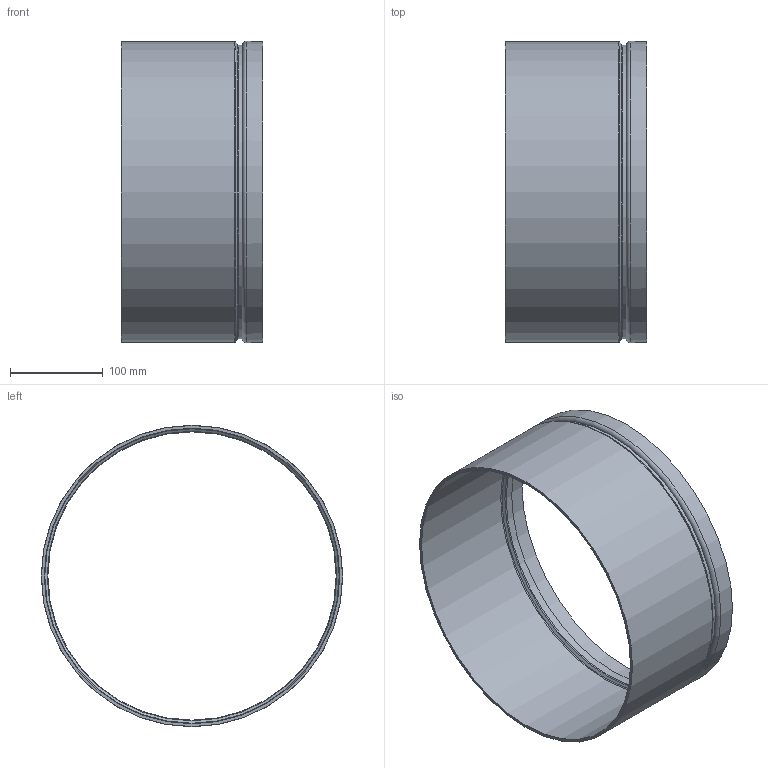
import cadquery as cq
import math

length = 152.4
body_outer_radius = 323.85 / 2
body_inner_radius = 317.86 / 2
groove_outer_radius = 315.98 / 2
groove_inner_radius = 309.98 / 2
lip_outer_radius = 324.22 / 2
lip_taper = math.radians(1.7)

groove_start = 122.8
groove_end = 130.2
slope_angle = math.radians(55)
slope_fillet = 1.5

groove_wall = groove_outer_radius - groove_inner_radius
body_wall = body_outer_radius - body_inner_radius
bend_shift = groove_wall * math.tan(slope_angle / 2)
lip_round = lip_outer_radius - groove_outer_radius
lip_start = groove_end + lip_round
lip_drop = (length - lip_start) * math.tan(lip_taper)
lip_inner_radius = lip_outer_radius - body_wall


def body_and_slope(start, body_radius, floor_radius):
    """Open XY profile (Y is the radius): from the axis, along the body, down to the groove floor."""
    floor_start = start + (body_radius - floor_radius) / math.tan(slope_angle)
    tangent = slope_fillet * math.tan(slope_angle / 2)
    tangent_run = tangent * math.cos(slope_angle)
    tangent_drop = tangent * math.sin(slope_angle)
    return (
        cq.Workplane("XY")
        .lineTo(0, body_radius)
        .lineTo(start - tangent, body_radius)
        .radiusArc((start + tangent_run, body_radius - tangent_drop), slope_fillet)
        .lineTo(floor_start - tangent_run, floor_radius + tangent_drop)
        .radiusArc((floor_start + tangent, floor_radius), -slope_fillet)
    )


def revolve_lip(profile, lip_radius):
    """Finish a profile with the tapered lip and revolve it about the pipe axis."""
    closed = profile.lineTo(length, lip_radius - lip_drop).lineTo(length, 0).close()
    return closed.revolve(360, (0, 0, 0), (1, 0, 0))


def outer_solid():
    """Solid bounded by the outer surface, with a rounded shoulder on the lip."""
    profile = body_and_slope(groove_start, body_outer_radius, groove_outer_radius)
    profile = profile.lineTo(groove_end, groove_outer_radius)
    profile = profile.radiusArc((lip_start, lip_outer_radius), lip_round)
    return revolve_lip(profile, lip_outer_radius)


def bore_solid():
    """Solid that fills the bore; the bend follows the outside at the groove wall thickness."""
    floor_end = groove_end + groove_wall
    profile = body_and_slope(groove_start - bend_shift, body_inner_radius, groove_inner_radius)
    profile = profile.lineTo(floor_end, groove_inner_radius)
    profile = profile.lineTo(floor_end, lip_inner_radius)
    return revolve_lip(profile, lip_inner_radius)


result = outer_solid().cut(bore_solid())